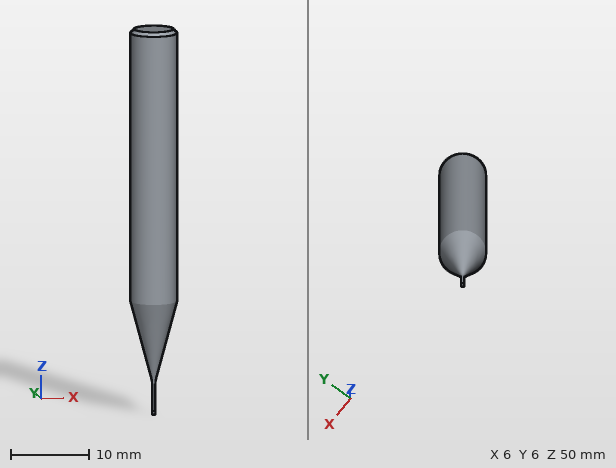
import cadquery as cq
import math

overall_length = 50.0
shank_diameter = 6.0
shank_chamfer = 0.5

cutting_diameter = 0.45
cutting_length = 0.55

neck_diameter = 0.445
neck_taper_length = 0.1
neck_end_height = 4.0

flare_arc_radius = 2.95
cone_half_angle = math.radians(15)

cutting_radius = cutting_diameter / 2
neck_radius = neck_diameter / 2
shank_radius = shank_diameter / 2


def flare_point(angle):
    """Point on the flare where its slope makes the given angle with the tool axis."""
    radius = neck_radius + flare_arc_radius * (1 - math.cos(angle))
    height = neck_end_height + flare_arc_radius * math.sin(angle)
    return radius, height


flare_end_radius, flare_end_height = flare_point(cone_half_angle)
cone_end_height = flare_end_height + (shank_radius - flare_end_radius) / math.tan(cone_half_angle)


def revolve_about_z(profile):
    """Turn a closed half profile, drawn as (radius, height), about the Z axis."""
    return profile.close().revolve(360, (0, 0, 0), (0, 1, 0))


def make_cutting_tip():
    """Hemispherical nose followed by a short cylinder."""
    arc_middle_radius = cutting_radius * math.sin(math.radians(45))
    arc_middle_height = cutting_radius - arc_middle_radius
    profile = (
        cq.Workplane("XZ")
        .moveTo(0, 0)
        .threePointArc((arc_middle_radius, arc_middle_height), (cutting_radius, cutting_radius))
        .lineTo(cutting_radius, cutting_length)
        .lineTo(0, cutting_length)
    )
    return revolve_about_z(profile)


def make_shank():
    """Neck, flare, cone and chamfered cylindrical shank, seated on top of the cutting tip."""
    profile = (
        cq.Workplane("XZ")
        .moveTo(0, cutting_length)
        .lineTo(cutting_radius, cutting_length)
        .lineTo(neck_radius, cutting_length + neck_taper_length)
        .lineTo(neck_radius, neck_end_height)
        .threePointArc(flare_point(cone_half_angle / 2), (flare_end_radius, flare_end_height))
        .lineTo(shank_radius, cone_end_height)
        .lineTo(shank_radius, overall_length - shank_chamfer)
        .lineTo(shank_radius - shank_chamfer, overall_length)
        .lineTo(0, overall_length)
    )
    return revolve_about_z(profile)


cutting_tip = make_cutting_tip()
shank = make_shank()

result = cq.Compound.makeCompound([cutting_tip.val(), shank.val()])